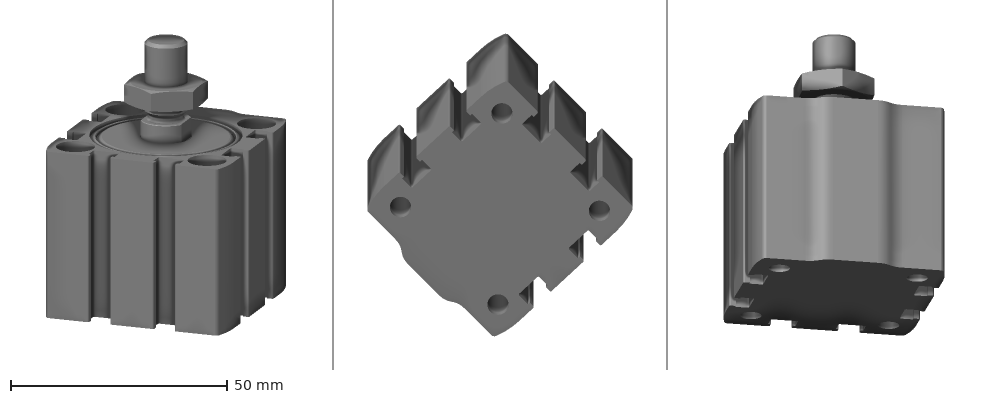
import cadquery as cq
import math

total_height = 63.0

body_width = 45.0
body_height = 40.0
half_width = body_width / 2
side_flat_half = 15.5
corner_x = 21.4
corner_y = 21.75
corner_flat_x = 20.55
corner_radius = 1.2
bump_rise = 2.0
bump_flat_half = 5.35
bump_radius = 5.0

slot_offset = 8.0
slot_throat = 5.15
slot_width = 6.4
slot_depth = 4.7
slot_lip = 1.5
slot_rounding = 0.4

mount_offset = 16.25
counterbore_diameter = 9.0
counterbore_depth = 5.0
thread_diameter = 6.0
mount_hole_diameter = 4.9

recess_radius = 17.7
recess_wall_depth = 1.1
ring_crest_radius = 16.4
ring_slope = 30.0
ring_crest_chamfer = 0.2
gap_radius = 16.0
cover_depth = 0.3
cover_flat_radius = 14.8
cover_shoulder_radius = 15.2
cover_shoulder_drop = 0.1
cover_edge_slope = 40.0

rod_diameter = 12.0
rod_flats = 10.0
rod_edge_chamfer = 0.1
rod_shoulder_z = 44.0
rod_flat_bottom_z = 39.25
rod_seat_z = 38.0
thread_radius = 10.0 / 2
tip_chamfer = 0.75
undercut_radius = 8.1 / 2
undercut_bottom_z = 44.55
undercut_top_z = 45.0
undercut_rounding = 0.5
undercut_foot_radius = 4.5

nut_flats = 17.0
nut_thickness = 5.0
nut_bottom_z = 48.0
nut_face_diameter = 16.65
nut_chamfer_angle = 15.0

cover_z = body_height - cover_depth


def tangent_arc_radius(run, inset):
    """Radius of an arc that leaves a line tangentially and drifts by inset over a length run."""
    return (run**2 + inset**2) / (2 * inset)


def housing_block():
    bow = tangent_arc_radius(corner_y - side_flat_half, half_width - corner_x)
    bump_top = half_width + bump_rise
    bump_run = math.sqrt(4 * bump_radius * bump_rise - bump_rise**2)
    bump_foot = bump_flat_half + bump_run
    bump_mid_x = bump_flat_half + bump_run / 2
    bump_mid_y = half_width + bump_rise / 2
    return (
        cq.Workplane("XY")
        .moveTo(-corner_flat_x, -half_width)
        .lineTo(corner_flat_x, -half_width)
        .radiusArc((corner_x, -corner_y), -corner_radius)
        .radiusArc((half_width, -side_flat_half), -bow)
        .lineTo(half_width, side_flat_half)
        .radiusArc((corner_x, corner_y), -bow)
        .radiusArc((corner_flat_x, half_width), -corner_radius)
        .lineTo(bump_foot, half_width)
        .radiusArc((bump_mid_x, bump_mid_y), bump_radius)
        .radiusArc((bump_flat_half, bump_top), -bump_radius)
        .lineTo(-bump_flat_half, bump_top)
        .radiusArc((-bump_mid_x, bump_mid_y), -bump_radius)
        .radiusArc((-bump_foot, half_width), bump_radius)
        .lineTo(-corner_flat_x, half_width)
        .radiusArc((-corner_x, corner_y), -corner_radius)
        .radiusArc((-half_width, side_flat_half), -bow)
        .lineTo(-half_width, -side_flat_half)
        .radiusArc((-corner_x, -corner_y), -bow)
        .radiusArc((-corner_flat_x, -half_width), -corner_radius)
        .close()
        .extrude(body_height)
    )


def slot_cutter(offset):
    """T-slot in the -Y wall with rounded mouth edges and rounded floor corners."""
    throat = slot_throat / 2
    wide = slot_width / 2
    mouth_y = -half_width
    lip_y = mouth_y + slot_lip
    floor_y = mouth_y + slot_depth
    r = slot_rounding
    return (
        cq.Workplane("XY")
        .moveTo(offset - throat - r, mouth_y)
        .radiusArc((offset - throat, mouth_y + r), -r)
        .lineTo(offset - throat, lip_y)
        .lineTo(offset - wide, lip_y)
        .lineTo(offset - wide, floor_y - r)
        .radiusArc((offset - wide + r, floor_y), r)
        .lineTo(offset + wide - r, floor_y)
        .radiusArc((offset + wide, floor_y - r), r)
        .lineTo(offset + wide, lip_y)
        .lineTo(offset + throat, lip_y)
        .lineTo(offset + throat, mouth_y + r)
        .radiusArc((offset + throat + r, mouth_y), -r)
        .close()
        .extrude(body_height)
    )


def mount_hole_cutter(x, y):
    """Stepped through hole: counterbore, then a 45 degree cone down to the through diameter."""
    bore_radius = mount_hole_diameter / 2
    lead_radius = thread_diameter / 2
    floor_z = body_height - counterbore_depth
    cone_end_z = floor_z - (lead_radius - bore_radius)
    profile = (
        cq.Workplane("XZ")
        .polyline([
            (0, 0),
            (bore_radius, 0),
            (bore_radius, cone_end_z),
            (lead_radius, floor_z),
            (counterbore_diameter / 2, floor_z),
            (counterbore_diameter / 2, body_height),
            (0, body_height),
        ])
        .close()
    )
    return profile.revolve(360, (0, 0), (0, 1)).translate((x, y, 0))


def recess_cutter():
    """Round recess whose floor carries the cover plate and the conical retaining ring."""
    ring_foot_z = body_height - recess_wall_depth
    ring_rise = (recess_radius - ring_crest_radius) * math.tan(math.radians(ring_slope))
    ring_crest_z = ring_foot_z + ring_rise
    ring_inner_radius = ring_crest_radius - ring_crest_chamfer
    shoulder_z = cover_z - cover_shoulder_drop
    edge_drop = (gap_radius - cover_shoulder_radius) * math.tan(math.radians(cover_edge_slope))
    gap_floor_z = shoulder_z - edge_drop
    profile = (
        cq.Workplane("XZ")
        .polyline([
            (0, body_height),
            (0, cover_z),
            (cover_flat_radius, cover_z),
            (cover_shoulder_radius, shoulder_z),
            (gap_radius, gap_floor_z),
            (ring_inner_radius, gap_floor_z),
            (ring_inner_radius, ring_crest_z - ring_crest_chamfer),
            (ring_crest_radius, ring_crest_z),
            (recess_radius, ring_foot_z),
            (recess_radius, body_height),
        ])
        .close()
    )
    return profile.revolve(360, (0, 0), (0, 1))


def rod_seat_cutter():
    return (
        cq.Workplane("XY", origin=(0, 0, rod_seat_z))
        .circle(rod_diameter / 2)
        .extrude(body_height - rod_seat_z)
    )


def make_housing():
    housing = housing_block()
    for wall_turn in (-90, 0, 90):
        for offset in (-slot_offset, slot_offset):
            housing = housing.cut(slot_cutter(offset).rotate((0, 0, 0), (0, 0, 1), wall_turn))
    for x in (-mount_offset, mount_offset):
        for y in (-mount_offset, mount_offset):
            housing = housing.cut(mount_hole_cutter(x, y))
    return housing.cut(recess_cutter()).cut(rod_seat_cutter())


def make_rod():
    """Base with two flats, seated in the cover, then an undercut and the threaded end."""
    r = undercut_rounding
    base = (
        cq.Workplane("XY", origin=(0, 0, rod_seat_z))
        .circle(rod_diameter / 2)
        .extrude(rod_shoulder_z - rod_seat_z)
        .faces(">Z")
        .chamfer(rod_edge_chamfer)
    )
    flat_depth = (rod_diameter - rod_flats) / 2
    for side in (-1, 1):
        flat_x = side * (rod_flats + flat_depth) / 2
        flat_cutter = (
            cq.Workplane("XY", origin=(flat_x, 0, rod_flat_bottom_z))
            .rect(flat_depth, rod_diameter)
            .extrude(rod_shoulder_z - rod_flat_bottom_z)
        )
        base = base.cut(flat_cutter)
    arc_radial = r * (1 - math.sqrt(0.5))
    arc_axial = r * math.sqrt(0.5)
    cone_radius = undercut_radius + arc_radial
    upper_cone_bottom = undercut_top_z + arc_axial
    foot_arc = tangent_arc_radius(
        undercut_bottom_z - rod_shoulder_z, undercut_foot_radius - undercut_radius
    )
    threaded_end = (
        cq.Workplane("XZ")
        .moveTo(0, rod_shoulder_z)
        .lineTo(undercut_foot_radius, rod_shoulder_z)
        .radiusArc((undercut_radius, undercut_bottom_z), foot_arc)
        .lineTo(undercut_radius, undercut_top_z)
        .radiusArc((cone_radius, upper_cone_bottom), r)
        .lineTo(thread_radius, upper_cone_bottom + thread_radius - cone_radius)
        .lineTo(thread_radius, total_height - tip_chamfer)
        .lineTo(thread_radius - tip_chamfer, total_height)
        .lineTo(0, total_height)
        .close()
        .revolve(360, (0, 0), (0, 1))
    )
    return base.union(threaded_end)


def make_nut():
    """Hex nut with flats facing +X and -X and a conical chamfer on both faces."""
    corner_reach = nut_flats / math.sqrt(3)
    face_radius = nut_face_diameter / 2
    chamfer_drop = (corner_reach - face_radius) * math.tan(math.radians(nut_chamfer_angle))
    hexagon_turn = 30
    hexagon = (
        cq.Workplane("XY")
        .polygon(6, 2 * corner_reach)
        .extrude(nut_thickness)
        .rotate((0, 0, 0), (0, 0, 1), hexagon_turn)
    )
    envelope = (
        cq.Workplane("XZ")
        .polyline([
            (thread_radius, 0),
            (face_radius, 0),
            (corner_reach, chamfer_drop),
            (corner_reach, nut_thickness - chamfer_drop),
            (face_radius, nut_thickness),
            (thread_radius, nut_thickness),
        ])
        .close()
        .revolve(360, (0, 0), (0, 1))
    )
    return hexagon.intersect(envelope).translate((0, 0, nut_bottom_z))


housing = make_housing()
rod = make_rod()
nut = make_nut()

result = cq.Compound.makeCompound([housing.val(), rod.val(), nut.val()])